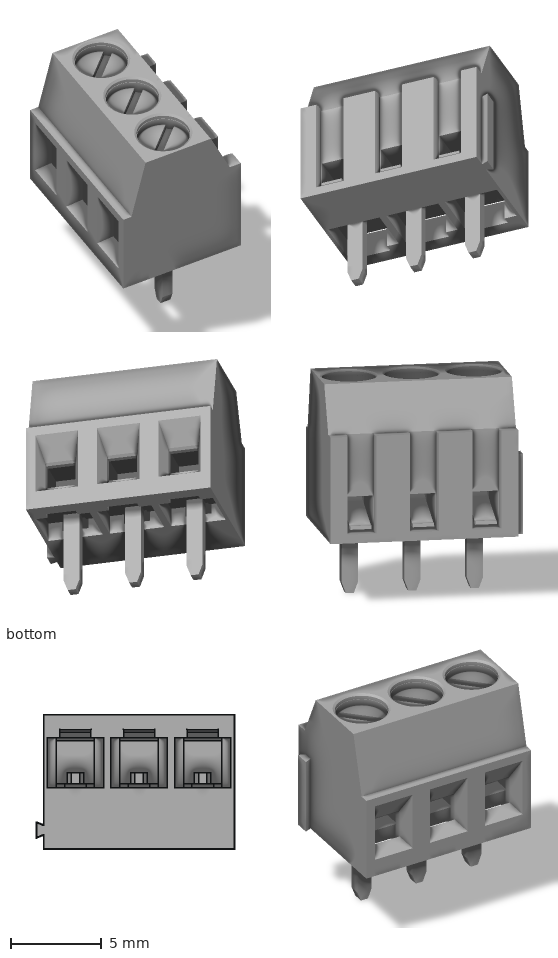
import cadquery as cq
import math


POLES = 3
PITCH = 3.5
POLE_XS = [(i - (POLES - 1) / 2) * PITCH for i in range(POLES)]

LENGTH = POLES * PITCH
DEPTH = 7.4
OVERALL_HEIGHT = 12.2
HEIGHT = 8.6
FRONT_LEDGE_Z = 5.03
FRONT_LEDGE_DEPTH = 0.51
REAR_LEDGE_Z = 6.0
REAR_LEDGE_DEPTH = 0.7
ROOF_FRONT_Y = 1.4
ROOF_REAR_Y = 5.51

KEY_HEIGHT = 4.5
KEY_PROTRUSION = 0.39
KEY_OUTER_WIDTH = 0.88
KEY_ROOT_WIDTH = 0.54
KEY_Y = DEPTH - 1.05

ENTRY_WIDTH = 2.4
ENTRY_BOTTOM_Z = 1.05
ENTRY_TOP_Z = 4.5
PASSAGE_WIDTH = 1.71
FUNNEL_BOTTOM_Z = 1.48
FUNNEL_TOP_Z = 3.15
PASSAGE_TOP_Z = 3.01
FUNNEL_DEPTH = 0.83

LEG_WIDTH = 0.9
LEG_THICKNESS = 0.62
LEG_REAR_Y = 3.82
LEG_LENGTH = OVERALL_HEIGHT - HEIGHT
TIP_WIDTH = 0.45
TIP_HEIGHT = 0.6
BLOCK_WIDTH = 2.1
BLOCK_FRONT_Y = 1.44
BLOCK_BOTTOM_Z = 1.07
BLOCK_TOP_Z = 1.92

GUARD_BEND_RADIUS = 2.0 / 2
GUARD_BEND_INNER_RADIUS = 1.6 / 2
GUARD_THICKNESS = GUARD_BEND_RADIUS - GUARD_BEND_INNER_RADIUS
GUARD_FRONT_Y = LEG_REAR_Y
TONGUE_WIDTH = 1.2
TONGUE_ROOT_Z = 2.49
TONGUE_SLOPE = 20
TONGUE_CURL_RADIUS = 1.25 / 2
TONGUE_CURL_Y = DEPTH - 0.43
TONGUE_END_RISE = 13

CAVITY_FRONT_Y = 1.27
CAVITY_REAR_Y = GUARD_FRONT_Y + GUARD_THICKNESS
CAVITY_TOP_Z = 3.5
UNDERSIDE_WIDTH = 3.1

POCKET_WAIST = 1.5
POCKET_MOUTH = 1.62
POCKET_FLOOR_Z = 0.5

SCREW_Y = 3.5
SCREW_DIAMETER = 2.9
COUNTERBORE_DIAMETER = 2.95
COUNTERBORE_DEPTH = 0.3
RIM_DIAMETER = 3.2
RIM_DEPTH = 0.1
SCREW_RECESS = 0.6
SCREW_EDGE_RADIUS = 0.22
SLOT_WIDTH = 0.49
SLOT_DEPTH = 0.4
SLOT_ANGLE = -45


def box_between(x_center, width, y_front, y_rear, z_bottom, z_top):
    """Upright block centred on x_center."""
    size = (width, y_rear - y_front, z_top - z_bottom)
    return cq.Workplane("XY").box(*size, centered=(True, False, False)).translate((x_center, y_front, z_bottom))


def extrude_along_x(section, x_center, width):
    """Extrude a closed Y-Z section symmetrically about x_center."""
    return section.extrude(width / 2, both=True).translate((x_center, 0, 0))


def polar_point(center, radius, degrees):
    """Point at a given angle and radius around a center."""
    angle = math.radians(degrees)
    return (center[0] + radius * math.cos(angle), center[1] + radius * math.sin(angle))


def housing_shell():
    section = cq.Workplane("YZ").polyline([
        (0, 0),
        (DEPTH, 0),
        (DEPTH, REAR_LEDGE_Z),
        (DEPTH - REAR_LEDGE_DEPTH, REAR_LEDGE_Z),
        (ROOF_REAR_Y, HEIGHT),
        (ROOF_FRONT_Y, HEIGHT),
        (FRONT_LEDGE_DEPTH, FRONT_LEDGE_Z),
        (0, FRONT_LEDGE_Z),
    ]).close()
    return extrude_along_x(section, 0, LENGTH)


def dovetail_key():
    wall_x = -LENGTH / 2
    tip_x = wall_x - KEY_PROTRUSION
    return cq.Workplane("XY").polyline([
        (wall_x, KEY_Y - KEY_ROOT_WIDTH / 2),
        (tip_x, KEY_Y - KEY_OUTER_WIDTH / 2),
        (tip_x, KEY_Y + KEY_OUTER_WIDTH / 2),
        (wall_x, KEY_Y + KEY_ROOT_WIDTH / 2),
    ]).close().extrude(KEY_HEIGHT)


def entry_outline(y, width, z_bottom, z_top):
    """Rectangular wire with its normal along Y, for lofting the funnel."""
    half = width / 2
    corners = [(-half, y, z_bottom), (half, y, z_bottom), (half, y, z_top), (-half, y, z_top)]
    return cq.Wire.makePolygon([cq.Vector(*corner) for corner in corners], close=True)


def wire_entry(x):
    """Funnel narrowing to a passage that is open below and whose ceiling starts with a 45 degree lip."""
    mouth = entry_outline(0, ENTRY_WIDTH, ENTRY_BOTTOM_Z, ENTRY_TOP_Z)
    throat = entry_outline(FUNNEL_DEPTH, PASSAGE_WIDTH, FUNNEL_BOTTOM_Z, FUNNEL_TOP_Z)
    funnel = cq.Workplane(cq.Solid.makeLoft([mouth, throat], True)).translate((x, 0, 0))
    section = cq.Workplane("YZ").polyline([
        (FUNNEL_DEPTH, 0),
        (CAVITY_FRONT_Y, 0),
        (CAVITY_FRONT_Y, PASSAGE_TOP_Z),
        (FUNNEL_DEPTH + FUNNEL_TOP_Z - PASSAGE_TOP_Z, PASSAGE_TOP_Z),
        (FUNNEL_DEPTH, FUNNEL_TOP_Z),
    ]).close()
    return funnel.union(extrude_along_x(section, x, PASSAGE_WIDTH))


def inner_cavity(x):
    """Contact chamber, wider below the contact block and open at the underside."""
    chamber = box_between(x, BLOCK_WIDTH, CAVITY_FRONT_Y, CAVITY_REAR_Y, BLOCK_BOTTOM_Z, CAVITY_TOP_Z)
    underside = box_between(x, UNDERSIDE_WIDTH, CAVITY_FRONT_Y, CAVITY_REAR_Y, 0, BLOCK_BOTTOM_Z)
    return chamber.union(underside)


def rear_pocket(x):
    """Pocket open at the rear and the rear ledge, joined to the chamber by a tunnel."""
    inner_y = DEPTH - REAR_LEDGE_DEPTH
    middle_y = (inner_y + DEPTH) / 2
    pocket = (
        cq.Workplane("XY")
        .workplane(offset=POCKET_FLOOR_Z)
        .moveTo(x - POCKET_MOUTH / 2, inner_y)
        .lineTo(x + POCKET_MOUTH / 2, inner_y)
        .threePointArc((x + POCKET_WAIST / 2, middle_y), (x + POCKET_MOUTH / 2, DEPTH))
        .lineTo(x - POCKET_MOUTH / 2, DEPTH)
        .threePointArc((x - POCKET_WAIST / 2, middle_y), (x - POCKET_MOUTH / 2, inner_y))
        .close()
        .extrude(REAR_LEDGE_Z - POCKET_FLOOR_Z)
    )
    tunnel = box_between(x, POCKET_WAIST, CAVITY_REAR_Y, inner_y, POCKET_FLOOR_Z, TONGUE_ROOT_Z)
    return pocket.union(tunnel)


def screw_hole(x):
    """Bore from the roof to the chamber with a shallow counterbore and a bevelled rim."""
    section = cq.Workplane("XZ").polyline([
        (0, CAVITY_TOP_Z),
        (SCREW_DIAMETER / 2, CAVITY_TOP_Z),
        (SCREW_DIAMETER / 2, HEIGHT - COUNTERBORE_DEPTH),
        (COUNTERBORE_DIAMETER / 2, HEIGHT - COUNTERBORE_DEPTH),
        (COUNTERBORE_DIAMETER / 2, HEIGHT - RIM_DEPTH),
        (RIM_DIAMETER / 2, HEIGHT),
        (0, HEIGHT),
    ]).close()
    return section.revolve(360, (0, 0), (0, 1)).translate((x, SCREW_Y, 0))


def make_housing():
    housing = housing_shell().union(dovetail_key())
    for x in POLE_XS:
        for cutter in (wire_entry, inner_cavity, rear_pocket, screw_hole):
            housing = housing.cut(cutter(x))
    return housing


def make_pin(x):
    block = box_between(x, BLOCK_WIDTH, BLOCK_FRONT_Y, LEG_REAR_Y, BLOCK_BOTTOM_Z, BLOCK_TOP_Z)
    shoulder_z = TIP_HEIGHT - LEG_LENGTH
    leg = (
        cq.Workplane("XZ")
        .polyline([
            (-TIP_WIDTH / 2, -LEG_LENGTH),
            (TIP_WIDTH / 2, -LEG_LENGTH),
            (LEG_WIDTH / 2, shoulder_z),
            (LEG_WIDTH / 2, BLOCK_BOTTOM_Z),
            (-LEG_WIDTH / 2, BLOCK_BOTTOM_Z),
            (-LEG_WIDTH / 2, shoulder_z),
        ])
        .close()
        .extrude(LEG_THICKNESS)
        .translate((x, LEG_REAR_Y, 0))
    )
    return block.union(leg)


def guard_tongue(x):
    """Strip bent rearward from the plate, sloping down and curling up at its free end."""
    bend_end = 270 - TONGUE_SLOPE
    curl_end = 270 + TONGUE_END_RISE
    bend_middle = (180 + bend_end) / 2
    curl_middle = (bend_end + curl_end) / 2
    slope = math.radians(TONGUE_SLOPE)
    bend_center = (GUARD_FRONT_Y + GUARD_BEND_RADIUS, TONGUE_ROOT_Z)

    shifted_center = polar_point(bend_center, GUARD_BEND_INNER_RADIUS - TONGUE_CURL_RADIUS, bend_end)
    drop = (TONGUE_CURL_Y - shifted_center[0]) * math.tan(slope)
    curl_center = (TONGUE_CURL_Y, shifted_center[1] - drop)
    curl_outer_radius = TONGUE_CURL_RADIUS + GUARD_THICKNESS

    section = (
        cq.Workplane("YZ")
        .moveTo(*polar_point(bend_center, GUARD_BEND_RADIUS, 180))
        .threePointArc(
            polar_point(bend_center, GUARD_BEND_RADIUS, bend_middle),
            polar_point(bend_center, GUARD_BEND_RADIUS, bend_end),
        )
        .lineTo(*polar_point(curl_center, curl_outer_radius, bend_end))
        .threePointArc(
            polar_point(curl_center, curl_outer_radius, curl_middle),
            polar_point(curl_center, curl_outer_radius, curl_end),
        )
        .lineTo(*polar_point(curl_center, TONGUE_CURL_RADIUS, curl_end))
        .threePointArc(
            polar_point(curl_center, TONGUE_CURL_RADIUS, curl_middle),
            polar_point(curl_center, TONGUE_CURL_RADIUS, bend_end),
        )
        .lineTo(*polar_point(bend_center, GUARD_BEND_INNER_RADIUS, bend_end))
        .threePointArc(
            polar_point(bend_center, GUARD_BEND_INNER_RADIUS, bend_middle),
            polar_point(bend_center, GUARD_BEND_INNER_RADIUS, 180),
        )
        .close()
    )
    return extrude_along_x(section, x, TONGUE_WIDTH)


def make_guard(x):
    plate = box_between(x, BLOCK_WIDTH, GUARD_FRONT_Y, CAVITY_REAR_Y, BLOCK_BOTTOM_Z, CAVITY_TOP_Z)
    notch = box_between(x, TONGUE_WIDTH, GUARD_FRONT_Y, CAVITY_REAR_Y, BLOCK_BOTTOM_Z, TONGUE_ROOT_Z)
    return plate.cut(notch).union(guard_tongue(x))


def make_screw(x):
    """Screw with a rounded top edge and a diagonal driver slot."""
    top_z = HEIGHT - SCREW_RECESS
    length = top_z - CAVITY_TOP_Z
    body = cq.Workplane("XY").circle(SCREW_DIAMETER / 2).extrude(length)
    body = body.faces(">Z").edges().fillet(SCREW_EDGE_RADIUS)
    slot = (
        cq.Workplane("XY")
        .rect(SCREW_DIAMETER, SLOT_WIDTH)
        .extrude(SLOT_DEPTH)
        .rotate((0, 0, 0), (0, 0, 1), SLOT_ANGLE)
        .translate((0, 0, length - SLOT_DEPTH))
    )
    return body.cut(slot).translate((x, SCREW_Y, CAVITY_TOP_Z))


housing = make_housing()
pins = [make_pin(x).val() for x in POLE_XS]
guards = [make_guard(x).val() for x in POLE_XS]
screws = [make_screw(x).val() for x in POLE_XS]

result = cq.Compound.makeCompound([housing.val(), *pins, *guards, *screws])